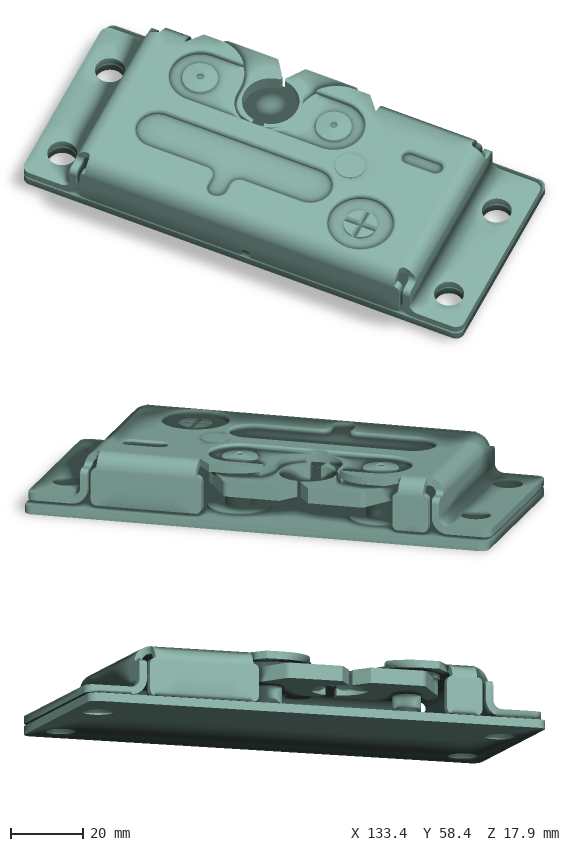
import cadquery as cq
import math

DIAGONAL = math.sqrt(0.5)
PICK = 0.1


PLATE_LENGTH = 133.4
PLATE_DEPTH = 58.4
PLATE_THICKNESS = 2.4
CORNER_RADIUS = 2.5
MOUNT_HOLE_DIAMETER = 8.3
MOUNT_HOLE_INSET = 8.0
MOUNT_HOLE_ROWS = (10.0, 41.7)

GAP = 0.7
SHEET = 2.1
BEND_INNER = 2.5
BEND_OUTER = BEND_INNER + SHEET
HOUSING_DEPTH = 55.2
HOUSING_BOTTOM = PLATE_THICKNESS + GAP
HOUSING_TOP = 17.6
BEND_START = HOUSING_TOP - BEND_OUTER
SIDE_LEFT = 14.7
SIDE_RIGHT = 117.9
WALL_LEFT = 17.9
WALL_RIGHT = 114.8
WALL_CORNER = 1.6
WALL_RISE = 0.8
RELIEF = BEND_OUTER
RELIEF_RADIUS = 1.6
SHOULDER_RADIUS = 1.5
SHOULDER_HEIGHT = 13.1

THROAT_X = 55.6
RIVET_SPACING = 40.5
RIVET_Y = 41.7
RIVET_LEFT = THROAT_X - RIVET_SPACING / 2
RIVET_RIGHT = THROAT_X + RIVET_SPACING / 2
THROAT_DIAMETER = 17.9
THROAT_MOUTH_RADIUS = 11.3
CLAW_BOTTOM = 9.7
CLAW_HOLE_DIAMETER = 15.9
CLAW_HOLE_Y = 44.3
CLAW_EYE_RADIUS = 8.7
CLAW_TIP_Y = RIVET_Y - CLAW_EYE_RADIUS
CLAW_OUTER_X = 20.0
MOUTH_HALF = 4.1
NECK_HALF = 0.5
NECK_Y = 53.2
NECK_RADIUS = 0.5
CLAW_CORNER_RADIUS = 1.7
TIP_GAP_TOP = 1.6
TIP_GAP_BOTTOM = 2.1
MOUTH_NOTCH_LEFT = 26.5
MOUTH_NOTCH_RIGHT = 84.7
LIP_TAPER = 3.9

POCKET_DEPTH = 1.5
POCKET_FLOOR = HOUSING_TOP - POCKET_DEPTH
POCKET_LAND = 0.07
CLAW_TOP = POCKET_FLOOR - SHEET
RIVET_POCKET_WIDTH = 17.1
RIVET_POCKET_ROUND = 0.7
LONG_POCKET_WIDTH = 12.0
LONG_POCKET_LEFT = 32.3
LONG_POCKET_RIGHT = 78.5
LONG_POCKET_Y = 20.3
LONG_POCKET_ROUND = 1.1
TAB_WIDTH = 5.2
TAB_END_Y = 6.0
TAB_CORNER_RADIUS = 3.0
SLOT_WIDTH = 3.7
SLOT_LEFT = 99.5
SLOT_RIGHT = 107.5
SLOT_Y = 40.1
SLOT_ROUND = 1.2
SCREW_X = 96.7
SCREW_Y = 14.0
SCREW_POCKET_DIAMETER = 18.1
SCREW_POCKET_ROUND = 1.0

RIVET_HEAD_DIAMETER = 10.5
RIVET_CONE_DIAMETER = 9.9
RIVET_RIM = 0.7
RIVET_HEAD_HEIGHT = 1.3
RIVET_TOP_DIAMETER = 2.7
RIVET_HOLE_DIAMETER = 1.9
RIVET_COUNTERSINK = 0.3
RIVET_HOLE_DEPTH = 0.7
RIVET_SHANK_DIAMETER = 8.0
RIVET_FOOT_DIAMETER = 18.1
FOOT_LINK_FRONT = 28.7
FOOT_LINK_BACK = 33.2
SCREW_DIAMETER = 9.3
SCREW_RAISE = 0.5
CROSS_WIDTH = 1.9
CROSS_DEPTH = 1.0
SCREW_FOOT_DIAMETER = 11.3
SCREW_FOOT_Y = 14.7
SCREW_FOOT_LENGTH = 15.9
SCREW_FOOT_BAR = 4.3
EMBLEM_DIAMETER = 8.3
EMBLEM_X = 86.1
EMBLEM_Y = 30.3
EMBLEM_RAISE = 0.3
GROOVE_X = 68.1
GROOVE_WIDTH = 2.7
GROOVE_HEIGHT = 2.4
GROOVE_DEPTH = 1.1
GROOVE_RADIUS = 0.8


def box(x0, x1, y0, y1, z0, z1):
    return cq.Workplane("XY").box(x1 - x0, y1 - y0, z1 - z0, centered=False).translate((x0, y0, z0))


def cylinder(x, y, diameter, z0, z1):
    return cq.Workplane("XY", origin=(x, y, z0)).circle(diameter / 2).extrude(z1 - z0)


def stadium(x0, x1, y, width, z0, z1):
    """Upright block with round ends centred at x0 and x1."""
    length = x1 - x0 + width
    middle = (x0 + x1) / 2
    return cq.Workplane("XY", origin=(middle, y, z0)).slot2D(length, width).extrude(z1 - z0)


def mount_holes(z0, z1):
    holes = cq.Workplane("XY")
    for x in (MOUNT_HOLE_INSET, PLATE_LENGTH - MOUNT_HOLE_INSET):
        for y in MOUNT_HOLE_ROWS:
            holes = holes.add(cylinder(x, y, MOUNT_HOLE_DIAMETER, z0, z1))
    return holes.combine()


def make_plate():
    plate = box(0, PLATE_LENGTH, 0, PLATE_DEPTH, 0, PLATE_THICKNESS)
    plate = plate.edges("|Z").fillet(CORNER_RADIUS)
    return plate.cut(mount_holes(0, PLATE_THICKNESS))


def arch(plane, first, second, length, inset, radius):
    """Solid block between two upright faces, moved in by an inset, with its top edges rounded."""
    height = HOUSING_TOP - HOUSING_BOTTOM - inset
    block = cq.Workplane(plane).center((first + second) / 2, HOUSING_BOTTOM + height / 2)
    block = block.rect(second - first - 2 * inset, height).extrude(length)
    bend_axis = {"XZ": "|Y", "YZ": "|X"}[plane]
    return block.edges(bend_axis).edges(">Z").fillet(radius)


def bent_channel(plane, first, second, length):
    """Upside-down U of sheet between two outer faces, extruded along the plane normal."""
    outside = arch(plane, first, second, length, 0, BEND_OUTER)
    return outside.cut(arch(plane, first, second, length, SHEET, BEND_INNER))


def cut_reliefs(sheet):
    """Open the sheet along the front and back bends, with rounded reliefs at the corners."""
    inner_left = SIDE_LEFT + RELIEF
    inner_right = SIDE_RIGHT - RELIEF
    for y0, y1 in ((-RELIEF, RELIEF), (HOUSING_DEPTH - RELIEF, HOUSING_DEPTH + RELIEF)):
        sheet = sheet.cut(box(inner_left, inner_right, y0, y1, SHOULDER_HEIGHT, HOUSING_TOP))
        for x0, x1 in ((0, inner_left), (inner_right, PLATE_LENGTH)):
            corner = box(x0, x1, y0, y1, SHOULDER_HEIGHT, HOUSING_TOP)
            corner = corner.edges("|Z").fillet(RELIEF_RADIUS)
            sheet = sheet.cut(corner.faces("<Z").edges().fillet(SHOULDER_RADIUS))
    return sheet


def flange(x_end, x_wall):
    """Mounting flange from its free end to a side wall, with both bend radii."""
    toward = math.copysign(1, x_wall - x_end)
    bottom = HOUSING_BOTTOM
    top = bottom + SHEET
    bend_x = x_wall - toward * BEND_INNER
    bend_z = top + BEND_INNER
    profile = (
        cq.Workplane("XZ")
        .moveTo(x_end, bottom)
        .lineTo(bend_x, bottom)
        .threePointArc(
            (bend_x + toward * BEND_OUTER * DIAGONAL, bend_z - BEND_OUTER * DIAGONAL),
            (x_wall + toward * SHEET, bend_z),
        )
        .lineTo(x_wall, bend_z)
        .threePointArc(
            (bend_x + toward * BEND_INNER * DIAGONAL, bend_z - BEND_INNER * DIAGONAL),
            (bend_x, top),
        )
        .lineTo(x_end, top)
        .close()
    )
    sheet = profile.extrude(-HOUSING_DEPTH)
    end = "<X" if toward > 0 else ">X"
    return sheet.edges("|Z").edges(end).fillet(CORNER_RADIUS)


def make_side_sheet():
    """Top panel, side walls and mounting flanges."""
    sheet = bent_channel("XZ", SIDE_LEFT, SIDE_RIGHT, -HOUSING_DEPTH)
    bend_z = HOUSING_BOTTOM + SHEET + BEND_INNER
    sheet = sheet.cut(box(0, PLATE_LENGTH, 0, HOUSING_DEPTH, 0, bend_z))
    sheet = cut_reliefs(sheet)
    for y in (0, HOUSING_DEPTH):
        shoulder_edges = cq.selectors.BoxSelector(
            (0, y - PICK, SHOULDER_HEIGHT - PICK),
            (PLATE_LENGTH, y + PICK, SHOULDER_HEIGHT + PICK),
        )
        sheet = sheet.edges("|X").edges(shoulder_edges).fillet(WALL_CORNER)
    return sheet.union(flange(0, SIDE_LEFT)).union(flange(PLATE_LENGTH, SIDE_RIGHT))


def wall_outline(x0, x1, bend_x0, bend_x1, y0, y1):
    """Block that trims a bent wall: rounded below the bend, narrower across it."""
    wall = box(x0, x1, y0, y1, HOUSING_BOTTOM, BEND_START + WALL_RISE)
    wall = wall.edges("|Y").fillet(WALL_CORNER)
    return wall.union(box(bend_x0, bend_x1, y0, y1, BEND_START - WALL_CORNER, HOUSING_TOP))


def make_wall_sheet():
    """Front and back walls with their bends; the back wall is open behind the throat."""
    bend_left = SIDE_LEFT + RELIEF
    bend_right = SIDE_RIGHT - RELIEF
    sheet = bent_channel("YZ", 0, HOUSING_DEPTH, PLATE_LENGTH)
    back_y = HOUSING_DEPTH - RELIEF
    front = wall_outline(WALL_LEFT, WALL_RIGHT, bend_left, bend_right, 0, RELIEF)
    back_left = wall_outline(
        WALL_LEFT,
        MOUTH_NOTCH_LEFT + WALL_CORNER,
        bend_left,
        MOUTH_NOTCH_LEFT,
        back_y,
        HOUSING_DEPTH,
    )
    back_right = wall_outline(
        MOUTH_NOTCH_RIGHT - WALL_CORNER,
        WALL_RIGHT,
        MOUTH_NOTCH_RIGHT,
        bend_right,
        back_y,
        HOUSING_DEPTH,
    )
    return sheet.intersect(front.union(back_left).union(back_right))


def make_lip():
    """Flat tongue of the top panel that reaches the back edge over the claws."""
    back_y = HOUSING_DEPTH - RELIEF
    return (
        cq.Workplane("XY", origin=(0, 0, HOUSING_TOP - SHEET))
        .moveTo(MOUTH_NOTCH_LEFT, back_y)
        .lineTo(MOUTH_NOTCH_LEFT + LIP_TAPER, HOUSING_DEPTH)
        .lineTo(MOUTH_NOTCH_RIGHT - LIP_TAPER, HOUSING_DEPTH)
        .lineTo(MOUTH_NOTCH_RIGHT, back_y)
        .close()
        .extrude(SHEET)
    )


def rivet_pocket(margin, z0, z1):
    return stadium(RIVET_LEFT, RIVET_RIGHT, RIVET_Y, RIVET_POCKET_WIDTH + 2 * margin, z0, z1)


def long_pocket(margin, z0, z1):
    """Stadium with a round-ended tab at the middle of its front side."""
    body = stadium(
        LONG_POCKET_LEFT, LONG_POCKET_RIGHT, LONG_POCKET_Y, LONG_POCKET_WIDTH + 2 * margin, z0, z1
    )
    half = TAB_WIDTH / 2 + margin
    end_y = TAB_END_Y - margin
    tab = box(THROAT_X - half, THROAT_X + half, end_y + half, LONG_POCKET_Y, z0, z1)
    tab = tab.union(cylinder(THROAT_X, end_y + half, 2 * half, z0, z1))
    front_y = LONG_POCKET_Y - LONG_POCKET_WIDTH / 2 - margin
    inner_corners = cq.selectors.BoxSelector(
        (THROAT_X - half - PICK, front_y - PICK, z0),
        (THROAT_X + half + PICK, front_y + PICK, z1),
    )
    pocket = body.union(tab)
    return pocket.edges("|Z").edges(inner_corners).fillet(TAB_CORNER_RADIUS - margin)


def slot_pocket(margin, z0, z1):
    return stadium(SLOT_LEFT, SLOT_RIGHT, SLOT_Y, SLOT_WIDTH + 2 * margin, z0, z1)


def screw_pocket(margin, z0, z1):
    return cylinder(SCREW_X, SCREW_Y, SCREW_POCKET_DIAMETER + 2 * margin, z0, z1)


POCKETS = (
    (rivet_pocket, RIVET_POCKET_ROUND),
    (long_pocket, LONG_POCKET_ROUND),
    (slot_pocket, SLOT_ROUND),
    (screw_pocket, SCREW_POCKET_ROUND),
)


def add_pocket(housing, outline, rounding):
    """Press a pocket into the top panel: sheet below its floor, rim rounded over."""
    margin = rounding + POCKET_LAND
    cup = outline(margin, POCKET_FLOOR - SHEET, HOUSING_TOP)
    cup = cup.cut(outline(0, POCKET_FLOOR, HOUSING_TOP))
    rim = cup.faces(">Z").val().innerWires()[0].Edges()
    rounded_cup = cq.Workplane(cup.val().fillet(rounding, rim))
    bend_envelope = arch("YZ", 0, HOUSING_DEPTH, PLATE_LENGTH, 0, BEND_OUTER)
    rounded_cup = rounded_cup.intersect(bend_envelope)
    return housing.cut(outline(margin, POCKET_FLOOR, HOUSING_TOP)).union(rounded_cup)


def make_throat():
    """Cutter for the round throat and its mouth, flared to the back edge."""
    z0 = POCKET_FLOOR - SHEET
    flare_y = HOUSING_DEPTH - THROAT_MOUTH_RADIUS
    diagonal = THROAT_MOUTH_RADIUS * DIAGONAL
    throat_left = RIVET_LEFT + THROAT_MOUTH_RADIUS
    throat_right = RIVET_RIGHT - THROAT_MOUTH_RADIUS
    mouth = (
        cq.Workplane("XY", origin=(0, 0, z0))
        .moveTo(throat_left, RIVET_Y)
        .lineTo(throat_left, flare_y)
        .threePointArc((RIVET_LEFT + diagonal, flare_y + diagonal), (RIVET_LEFT, HOUSING_DEPTH))
        .lineTo(RIVET_RIGHT, HOUSING_DEPTH)
        .threePointArc((RIVET_RIGHT - diagonal, flare_y + diagonal), (throat_right, flare_y))
        .lineTo(throat_right, RIVET_Y)
        .close()
        .extrude(HOUSING_TOP - z0)
    )
    return mouth.union(cylinder(THROAT_X, RIVET_Y, THROAT_DIAMETER, z0, HOUSING_TOP))


def make_claws():
    """Mirrored pair of hooked claws around the striker hole, each pivoting on a rivet."""
    hole_radius = CLAW_HOLE_DIAMETER / 2
    neck_bottom = CLAW_HOLE_Y + math.sqrt(hole_radius**2 - NECK_HALF**2)
    tip_top = CLAW_HOLE_Y - math.sqrt(hole_radius**2 - TIP_GAP_TOP**2)
    eye_x = -RIVET_SPACING / 2
    eye_offset = CLAW_EYE_RADIUS * DIAGONAL
    left = (
        cq.Workplane("XY", origin=(THROAT_X, 0, CLAW_BOTTOM))
        .moveTo(-CLAW_OUTER_X, PLATE_DEPTH)
        .lineTo(-MOUTH_HALF, PLATE_DEPTH)
        .lineTo(-NECK_HALF, NECK_Y)
        .lineTo(-NECK_HALF, neck_bottom)
        .threePointArc((-hole_radius, CLAW_HOLE_Y), (-TIP_GAP_TOP, tip_top))
        .lineTo(-TIP_GAP_BOTTOM, CLAW_TIP_Y)
        .lineTo(eye_x, CLAW_TIP_Y)
        .threePointArc(
            (eye_x - CLAW_EYE_RADIUS, RIVET_Y),
            (eye_x - eye_offset, RIVET_Y + eye_offset),
        )
        .close()
        .extrude(CLAW_TOP - CLAW_BOTTOM)
    )
    outer_corner = cq.selectors.NearestToPointSelector((THROAT_X - CLAW_OUTER_X, PLATE_DEPTH, CLAW_BOTTOM))
    left = left.edges("|Z").edges(outer_corner).fillet(CLAW_CORNER_RADIUS)
    neck_corners = cq.selectors.BoxSelector(
        (THROAT_X - NECK_HALF - PICK, neck_bottom - PICK, CLAW_BOTTOM),
        (THROAT_X - NECK_HALF + PICK, NECK_Y + PICK, CLAW_TOP),
    )
    left = left.edges("|Z").edges(neck_corners).fillet(NECK_RADIUS)
    return left.union(left.mirror("YZ", (THROAT_X, 0, 0)))


def make_rivet(x):
    """Rivet with a conical drilled head, a shank through the claw and a wide foot."""
    rim_z = POCKET_FLOOR + RIVET_RIM
    head_z = POCKET_FLOOR + RIVET_HEAD_HEIGHT
    rivet = (
        cq.Workplane("XZ")
        .moveTo(0, PLATE_THICKNESS)
        .lineTo(RIVET_FOOT_DIAMETER / 2, PLATE_THICKNESS)
        .lineTo(RIVET_FOOT_DIAMETER / 2, HOUSING_BOTTOM)
        .lineTo(RIVET_SHANK_DIAMETER / 2, HOUSING_BOTTOM)
        .lineTo(RIVET_SHANK_DIAMETER / 2, POCKET_FLOOR)
        .lineTo(RIVET_HEAD_DIAMETER / 2, POCKET_FLOOR)
        .lineTo(RIVET_CONE_DIAMETER / 2, rim_z)
        .lineTo(RIVET_TOP_DIAMETER / 2, head_z)
        .lineTo(RIVET_HOLE_DIAMETER / 2, head_z - RIVET_COUNTERSINK)
        .lineTo(RIVET_HOLE_DIAMETER / 2, head_z - RIVET_HOLE_DEPTH)
        .lineTo(0, head_z - RIVET_HOLE_DEPTH)
        .close()
        .revolve(360, (0, 0, 0), (0, 1, 0))
    )
    return rivet.translate((x, RIVET_Y, 0))


def cross_groove(length):
    """V groove along X, cut from the screw head."""
    top = POCKET_FLOOR + SCREW_RAISE
    return (
        cq.Workplane("YZ", origin=(-length / 2, 0, top))
        .polyline([(-CROSS_WIDTH / 2, 0), (0, -CROSS_DEPTH), (CROSS_WIDTH / 2, 0)])
        .close()
        .extrude(length)
    )


def make_screw():
    """Cross-slotted lock screw with a winged foot."""
    top = POCKET_FLOOR + SCREW_RAISE
    screw = cylinder(SCREW_X, SCREW_Y, SCREW_DIAMETER, PLATE_THICKNESS, top)
    groove = cross_groove(SCREW_DIAMETER)
    cross = groove.union(groove.rotate((0, 0, 0), (0, 0, 1), 90))
    screw = screw.cut(cross.translate((SCREW_X, SCREW_Y, 0)))
    foot = cylinder(SCREW_X, SCREW_FOOT_Y, SCREW_FOOT_DIAMETER, PLATE_THICKNESS, HOUSING_BOTTOM)
    wings = box(
        SCREW_X - SCREW_FOOT_LENGTH / 2,
        SCREW_X + SCREW_FOOT_LENGTH / 2,
        SCREW_FOOT_Y - SCREW_FOOT_BAR / 2,
        SCREW_FOOT_Y + SCREW_FOOT_BAR / 2,
        PLATE_THICKNESS,
        HOUSING_BOTTOM,
    )
    return screw.union(foot).union(wings)


def make_groove():
    """Cutter for the blind groove with a rounded top at the foot of the front wall."""
    groove = box(
        GROOVE_X - GROOVE_WIDTH / 2,
        GROOVE_X + GROOVE_WIDTH / 2,
        0,
        GROOVE_DEPTH,
        HOUSING_BOTTOM,
        HOUSING_BOTTOM + GROOVE_HEIGHT,
    )
    return groove.edges("|Y and >Z").fillet(GROOVE_RADIUS)


def make_lock():
    housing = make_side_sheet().union(make_wall_sheet()).union(make_lip())
    housing = housing.cut(mount_holes(HOUSING_BOTTOM, HOUSING_BOTTOM + SHEET))
    for outline, rounding in POCKETS:
        housing = add_pocket(housing, outline, rounding)
    housing = housing.cut(make_throat()).cut(make_groove())
    screw_bore = cylinder(SCREW_X, SCREW_Y, SCREW_DIAMETER, HOUSING_BOTTOM, HOUSING_TOP)
    housing = housing.cut(screw_bore)
    lock = housing.union(make_claws()).union(make_screw())
    for x in (RIVET_LEFT, RIVET_RIGHT):
        lock = lock.union(make_rivet(x))
    foot_link = box(
        RIVET_LEFT, RIVET_RIGHT, FOOT_LINK_FRONT, FOOT_LINK_BACK, PLATE_THICKNESS, HOUSING_BOTTOM
    )
    emblem = cylinder(EMBLEM_X, EMBLEM_Y, EMBLEM_DIAMETER, HOUSING_TOP, HOUSING_TOP + EMBLEM_RAISE)
    return lock.union(foot_link).union(emblem)


plate = make_plate()
lock = make_lock()
result = cq.Compound.makeCompound([plate.val(), lock.val()])